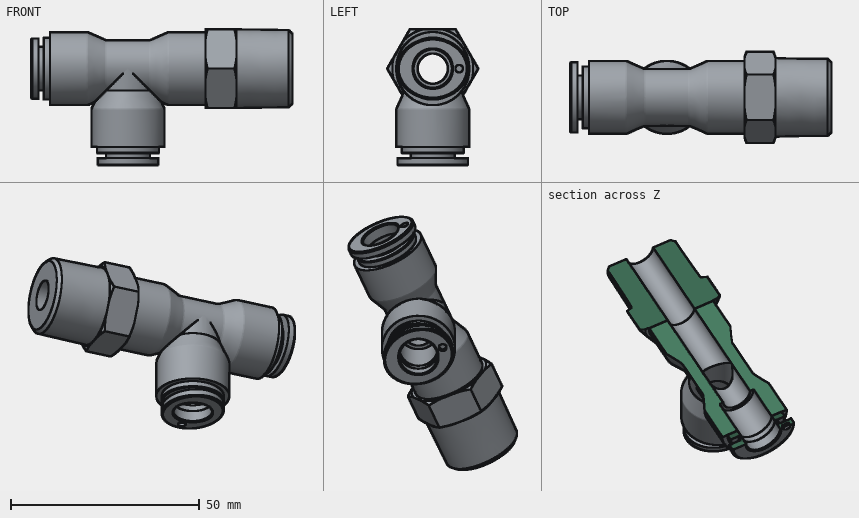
import cadquery as cq

BODY_DIA = 19.4
WAIST_DIA = 15.1
BODY_REACH = 20.75
STUD_ARM_REACH = 20.55
CONE_START = 5.8
CONE_END = 10.7
CONE_BLEND = 1.0
FLOW_DIA = 8.0
TUBE_DIA = 10.1

COLLAR_DIA = 16.5
COLLAR_LENGTH = 1.75
COLLAR_EDGE = 0.2

SLEEVE_REACH = 25.75
SLEEVE_NECK_DIA = 11.7
SLEEVE_BORE_DIA = 10.2
SLEEVE_MOUTH_DIA = 10.75
FLANGE_WIDTH = 18.75
FLANGE_HEIGHT = 16.1
FLANGE_LENGTH = 2.0
FLANGE_EDGE = 0.35
DIMPLE_DIA = 2.0
DIMPLE_DEPTH = 1.0
DIMPLE_OFFSET = 7.0

OVERALL_LENGTH = 69.4
HEX_CORNERS = 24.2
HEX_LENGTH = 8.25
HEX_FACE_DIA = 21.5
HEX_CHAMFER_DEPTH = 0.55
THREAD_START_DIA = 20.95
THREAD_END_DIA = 20.55
THREAD_CHAMFER_LENGTH = 1.05
THREAD_TIP_DIA = 18.6

COLLAR_FACE = BODY_REACH + COLLAR_LENGTH
STUD_REACH = OVERALL_LENGTH - SLEEVE_REACH
HEX_END = STUD_ARM_REACH + HEX_LENGTH


def to_left(part):
    """Turn a part from the +Z axis to the -X axis, keeping its Y direction."""
    return part.rotate((0, 0, 0), (0, 1, 0), -90)


def to_right(part):
    """Turn a part from the +Z axis to the +X axis."""
    return part.rotate((0, 0, 0), (0, 1, 0), 90)


def to_bottom(part):
    """Turn a part from the +Z axis to the -Z axis, keeping its Y direction."""
    return part.rotate((0, 0, 0), (0, 1, 0), 180)


PUSH_IN_DIRECTIONS = [to_left, to_bottom]


def cylinder(diameter, start, end):
    """Solid cylinder on the Z axis between two heights."""
    return cq.Workplane("XY").workplane(offset=start).circle(diameter / 2).extrude(end - start)


def turned(profile):
    """Turn a closed (radius, height) outline about the Z axis."""
    return cq.Workplane("XZ").polyline(profile).close().revolve(360, (0, 0, 0), (0, 1, 0))


def make_arm(reach, waist_blend):
    """Outside of one arm along +Z: waist, shoulder cone and socket end."""
    arm = turned([
        (0, 0),
        (WAIST_DIA / 2, 0),
        (WAIST_DIA / 2, CONE_START),
        (BODY_DIA / 2, CONE_END),
        (BODY_DIA / 2, reach),
        (0, reach),
    ])
    arm = arm.faces("%CONE").edges(">Z").fillet(CONE_BLEND)
    if waist_blend:
        arm = arm.faces("%CONE").edges("<Z").fillet(CONE_BLEND)
    return arm


def make_body():
    """Tee of three hollow arms; the two arms in line are also blended into the waist."""
    body = to_right(make_arm(STUD_ARM_REACH, waist_blend=True))
    body = body.union(to_left(make_arm(BODY_REACH, waist_blend=True)))
    body = body.union(to_bottom(make_arm(BODY_REACH, waist_blend=False)))
    body = body.cut(to_right(cylinder(FLOW_DIA, 0, STUD_ARM_REACH)))
    for place in PUSH_IN_DIRECTIONS:
        body = body.cut(place(cylinder(FLOW_DIA, 0, CONE_END)))
        body = body.cut(place(cylinder(TUBE_DIA, CONE_END, BODY_REACH)))
    return body


def make_collar():
    """Collar along +Z, seated on the mouth of an arm."""
    collar = cylinder(COLLAR_DIA, BODY_REACH, COLLAR_FACE)
    collar = collar.faces(">Z").edges().chamfer(COLLAR_EDGE)
    return collar.cut(cylinder(TUBE_DIA, BODY_REACH, COLLAR_FACE))


def make_sleeve():
    """Release sleeve along +Z, standing on the outer face of the collar."""
    flange = (
        cq.Workplane("XY")
        .workplane(offset=SLEEVE_REACH - FLANGE_LENGTH)
        .ellipse(FLANGE_HEIGHT / 2, FLANGE_WIDTH / 2)
        .extrude(FLANGE_LENGTH)
        .faces(">Z")
        .edges()
        .chamfer(FLANGE_EDGE)
    )
    sleeve = flange.union(cylinder(SLEEVE_NECK_DIA, COLLAR_FACE, SLEEVE_REACH - FLANGE_LENGTH))
    sleeve = sleeve.cut(cylinder(SLEEVE_BORE_DIA, COLLAR_FACE, SLEEVE_REACH))
    mouth_chamfer = (SLEEVE_MOUTH_DIA - SLEEVE_BORE_DIA) / 2
    sleeve = sleeve.faces(">Z").edges("%CIRCLE").chamfer(mouth_chamfer)
    dimple = cylinder(DIMPLE_DIA, SLEEVE_REACH - DIMPLE_DEPTH, SLEEVE_REACH)
    return sleeve.cut(dimple.translate((0, -DIMPLE_OFFSET, 0)))


def make_stud():
    """Hollow stud along +Z: hexagon against the body, then the tapered threaded end."""
    hexagon = (
        cq.Workplane("XY")
        .workplane(offset=STUD_ARM_REACH)
        .polygon(6, HEX_CORNERS)
        .extrude(HEX_LENGTH)
        .rotate((0, 0, 0), (0, 0, 1), 90)
    )
    corner_envelope = turned([
        (0, STUD_ARM_REACH),
        (HEX_FACE_DIA / 2, STUD_ARM_REACH),
        (HEX_CORNERS / 2, STUD_ARM_REACH + HEX_CHAMFER_DEPTH),
        (HEX_CORNERS / 2, HEX_END - HEX_CHAMFER_DEPTH),
        (HEX_FACE_DIA / 2, HEX_END),
        (0, HEX_END),
    ])
    thread = turned([
        (0, HEX_END),
        (THREAD_START_DIA / 2, HEX_END),
        (THREAD_END_DIA / 2, STUD_REACH - THREAD_CHAMFER_LENGTH),
        (THREAD_TIP_DIA / 2, STUD_REACH),
        (0, STUD_REACH),
    ])
    stud = hexagon.intersect(corner_envelope).union(thread)
    return to_right(stud.cut(cylinder(FLOW_DIA, STUD_ARM_REACH, STUD_REACH)))


body = make_body()
stud = make_stud()
collars = [place(make_collar()) for place in PUSH_IN_DIRECTIONS]
sleeves = [place(make_sleeve()) for place in PUSH_IN_DIRECTIONS]

result = cq.Compound.makeCompound([
    body.val(),
    stud.val(),
    *[collar.val() for collar in collars],
    *[sleeve.val() for sleeve in sleeves],
])